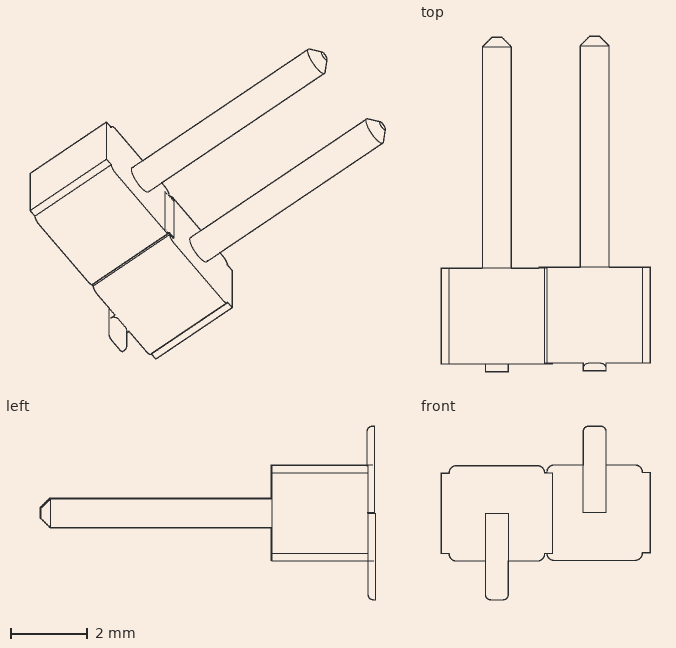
import cadquery as cq


pitch = 2.54
stagger_y = 0.03
stagger_z = 0.02

block_size = 2.49
block_depth = 2.5
tab_span = 2.9
tab_height = 2.095
corner_radius = (block_size - tab_height) / 2

pin_diameter = 0.76
pin_length = 6.01
pin_tip_chamfer = 0.25

lead_width = 0.6
lead_thickness = 0.2
lead_length = 2.25
lead_edge_radius = 0.15
lead_exposed = lead_length - block_size / 2


def make_block():
    """Block with rounded long edges and a side tab to -X and +X; front face on Y = 0."""
    core = cq.Workplane("XY").box(
        block_size, block_depth, block_size, centered=(True, False, True)
    )
    core = core.edges("|Y").fillet(corner_radius)
    tabs = cq.Workplane("XY").box(
        tab_span, block_depth, tab_height, centered=(True, False, True)
    )
    return core.union(tabs)


def make_pin():
    """Round pin with a tapered tip, standing on the back face of the block."""
    pin = cq.Workplane("XZ", origin=(0, block_depth, 0)).circle(pin_diameter / 2).extrude(-pin_length)
    return pin.faces(">Y").chamfer(pin_tip_chamfer)


def make_lead():
    """Flat lead from the block centre down past the block; its exposed end is rounded."""
    root = (
        cq.Workplane("XY", origin=(0, -lead_thickness, -block_size / 2))
        .box(lead_width, lead_thickness, block_size / 2, centered=(True, False, False))
    )
    tail = (
        cq.Workplane("XY", origin=(0, -lead_thickness, -lead_length))
        .box(lead_width, lead_thickness, lead_exposed, centered=(True, False, False))
    )
    tail = tail.edges("|Y and <Z").fillet(lead_edge_radius)
    tail = tail.faces(">Y").edges("not >Z").fillet(lead_edge_radius)
    return root.union(tail)


def make_contact():
    """Complete contact, centred on X = Z = 0 with its lead pointing to -Z."""
    return make_block().union(make_pin()).union(make_lead())


contact = make_contact()
lower_contact = contact.translate((-pitch / 2, 0, -stagger_z / 2))
upper_contact = (
    contact.rotate((0, 0, 0), (0, 1, 0), 180)
    .translate((pitch / 2, stagger_y, stagger_z / 2))
    .cut(lower_contact)
)

result = cq.Compound.makeCompound([lower_contact.solids().val(), upper_contact.solids().val()])